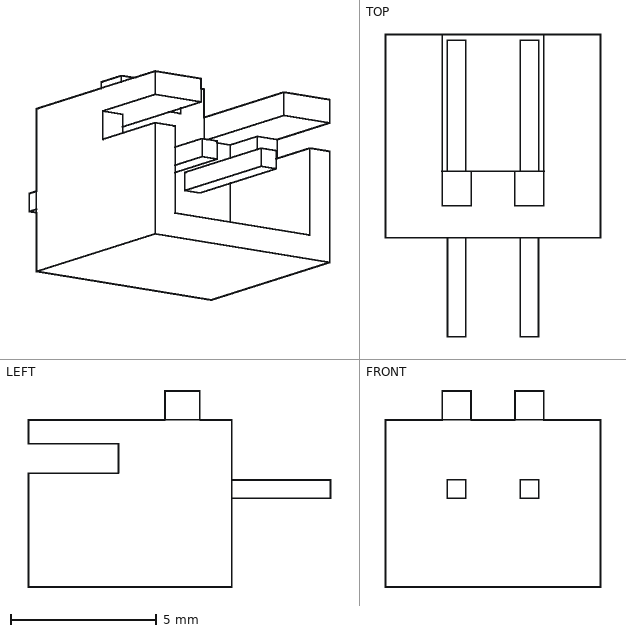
import cadquery as cq

width = 7.4
depth = 7.0
height = 5.75
wall = 0.85
top_wall = 0.825

cavity_depth = 4.7

notch_width = 3.5
tab_width = 1.0
tab_depth = 1.2
tab_height = 1.0

slot_depth = 3.1
slot_height = 1.0

pin_pitch = 2.5
pin_size = 0.64
pin_centre_z = 3.375
pin_tail = 3.4
pin_tip_inset = 0.2


def box(x_size, y_range, z_range, x_centre=0):
    """Box centred on x_centre, spanning the given Y and Z ranges."""
    y_low, y_high = y_range
    z_low, z_high = z_range
    return (
        cq.Workplane("XY")
        .box(x_size, y_high - y_low, z_high - z_low, centered=(True, False, False))
        .translate((x_centre, y_low, z_low))
    )


def make_housing():
    """Shell with the cavity, the top notch and the side slots cut from it."""
    cavity_end = depth - cavity_depth
    ceiling = height - top_wall
    cavity = box(width - 2 * wall, (cavity_end, depth), (wall, ceiling))
    notch = box(notch_width, (cavity_end, depth), (ceiling, height))
    slot = box(width, (depth - slot_depth, depth), (ceiling - slot_height, ceiling))
    return box(width, (0, depth), (0, height)).cut(cavity).cut(notch).cut(slot)


def make_tab(side):
    """Tab whose outer face is flush with the notch side (side is -1 or 1)."""
    cavity_end = depth - cavity_depth
    return box(
        tab_width,
        (cavity_end - tab_depth, cavity_end),
        (height, height + tab_height),
        side * (notch_width - tab_width) / 2,
    )


def make_pin(side):
    """Straight square pin through the rear wall (side is -1 or 1)."""
    return box(
        pin_size,
        (-pin_tail, depth - pin_tip_inset),
        (pin_centre_z - pin_size / 2, pin_centre_z + pin_size / 2),
        side * pin_pitch / 2,
    )


result = make_housing()
for side in (-1, 1):
    result = result.union(make_tab(side)).union(make_pin(side))